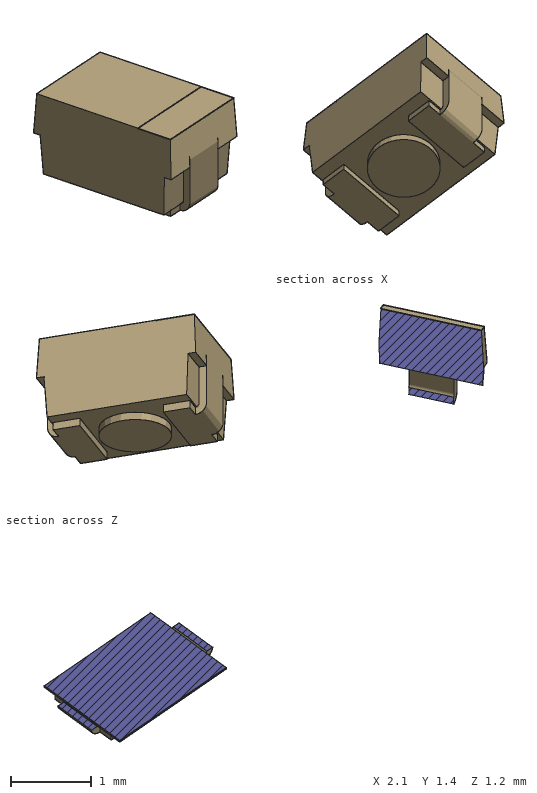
import cadquery as cq
import math

length = 2.1
width = 1.4
height = 1.2

standoff = 0.1
draft_angle = 3.0
parting_z = (standoff + height) / 2
half_case_height = height - parting_z
draft_inset = half_case_height * math.tan(math.radians(draft_angle))

foot_diameter = 0.9

strip_thickness = standoff
strip_width = 0.6
strip_top = 0.9
bend_radius = 0.15
inner_radius = bend_radius - strip_thickness
pad_width = 1.0
pad_end = 0.5
strip_embed = 0.252

band_length = 0.5
band_thickness = 0.008


def drafted_half(half_length, direction):
    """Half of the case, narrowing away from the parting plane."""
    return (
        cq.Workplane("XY", origin=(0, 0, parting_z))
        .rect(2 * half_length, width)
        .workplane(offset=direction * half_case_height)
        .rect(2 * (half_length - draft_inset), width - 2 * draft_inset)
        .loft(ruled=True)
    )


def make_terminal():
    """Terminal at the -X end: a bent strip with a wide solder pad at its base."""
    outer_x = -length / 2
    bend_x = outer_x + bend_radius
    strip = (
        cq.Workplane("XZ", origin=(outer_x, 0, 0))
        .moveTo(strip_embed, strip_top)
        .lineTo(bend_radius, strip_top)
        .radiusArc((0, strip_top - bend_radius), -bend_radius)
        .lineTo(0, bend_radius)
        .radiusArc((bend_radius, 0), -bend_radius)
        .lineTo(bend_radius, strip_thickness)
        .radiusArc((strip_thickness, bend_radius), inner_radius)
        .lineTo(strip_thickness, strip_top - bend_radius)
        .radiusArc((bend_radius, strip_top - strip_thickness), inner_radius)
        .lineTo(strip_embed, strip_top - strip_thickness)
        .close()
        .extrude(strip_width / 2, both=True)
    )
    pad = cq.Workplane("XY").box(
        pad_end - bend_radius, pad_width, strip_thickness, centered=(False, True, False)
    )
    return strip.union(pad.translate((bend_x, 0, 0)))


upper_case = drafted_half(length / 2, 1)
lower_case = drafted_half(length / 2 - strip_thickness, -1)

band_start = length / 2 - draft_inset - band_length
band_region = (
    cq.Workplane("XY", origin=(band_start, 0, height - band_thickness))
    .box(length, width, band_thickness, centered=(False, True, False))
)
band = upper_case.intersect(band_region)

foot = cq.Workplane("XY").circle(foot_diameter / 2).extrude(standoff)
terminal = make_terminal()
component = upper_case.cut(band_region).union(lower_case).union(foot)
for turn in (0, 180):
    component = component.union(terminal.rotate((0, 0, 0), (0, 0, 1), turn))

result = cq.Compound.makeCompound([component.solids().val(), band.solids().val()])